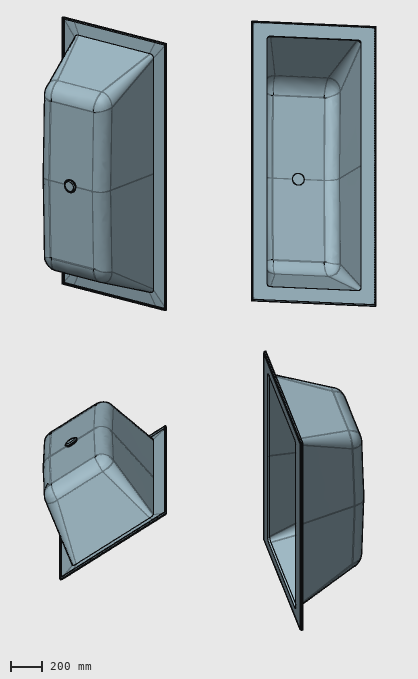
import cadquery as cq
import math


RIM_LENGTH = 1800.0
RIM_WIDTH = 800.0
RIM_HEIGHT = 18.0
RIM_CHAMFER = 7.0
LIP_THICKNESS = 9.0
FLANGE_OUTER_THICKNESS = 7.0
FLANGE_INNER_THICKNESS = 15.0
FLANGE_OVERLAP = 9.0
FLANGE_CORNER_X = 75.0
FLANGE_CORNER_Z = 5.0

SHELL = 5.0
OPENING_HALF_X = 308.0
OPENING_HALF_Z = 812.0
OPENING_CORNER = 27.0
FLOOR_DEPTH = 486.0
FLOOR_SLOPE = 0.026
FLOOR_HALF_X = 170.0
FLOOR_HALF_Z = 533.0
FLOOR_CORNER = 7.0
BOTTOM_ROUND_HEIGHT = 80.0
SIDE_ROUND_RADIUS = 85.0
END_ROUND_RADIUS = 117.0
CORNER_SHARE_X = 0.9
CORNER_SHARE_Z = 0.75
ROUND_STEPS = 6

TOTAL_DEPTH = 500.0
DRAIN_PIPE_RADIUS = 38.0
DRAIN_CAP_RADIUS = 43.0
DRAIN_CAP_FACE_RADIUS = 32.0
DRAIN_CAP_THICKNESS = 9.0
DRAIN_CAP_EDGE = 2.0

INTO_TUB = cq.Plane(origin=(0, 0, 0), xDir=(1, 0, 0), normal=(0, -1, 0))


def half_section(half_x, half_z, corner_x, corner_z, depth, slope=0.0):
    """Closed outline of the +Z half of the basin; it rises towards the opening with Z."""
    tilt = math.hypot(1, slope)
    up = cq.Vector(0, slope / tilt, 1 / tilt)
    across = cq.Vector(1, 0, 0)
    centre = cq.Vector(0, -depth, 0)

    def point(x, z):
        return centre + across * x + up * (z * tilt)

    straight_x = half_x - corner_x
    straight_z = half_z - corner_z
    normal = across.cross(up)

    def corner_arc(side, start, end):
        middle = point(side * straight_x, straight_z)
        return cq.Edge.makeEllipse(corner_x, corner_z * tilt, middle, normal, across, start, end)

    edges = [
        cq.Edge.makeLine(point(-half_x, 0), point(half_x, 0)),
        cq.Edge.makeLine(point(half_x, 0), point(half_x, straight_z)),
        corner_arc(1, 0, 90),
        cq.Edge.makeLine(point(straight_x, half_z), point(-straight_x, half_z)),
        corner_arc(-1, 90, 180),
        cq.Edge.makeLine(point(-half_x, straight_z), point(-half_x, 0)),
    ]
    return cq.Wire.assembleEdges(edges)


def round_width(radius, height):
    """Horizontal reach of a round of this radius at a height above the floor."""
    return math.sqrt(2 * radius * height - height ** 2)


def basin(inset):
    """Solid basin, the outer shape moved inwards by inset."""
    def bottom_section(height):
        side_reach = round_width(SIDE_ROUND_RADIUS, height)
        end_reach = round_width(END_ROUND_RADIUS, height)
        return half_section(
            FLOOR_HALF_X + side_reach - inset,
            FLOOR_HALF_Z + end_reach - inset,
            FLOOR_CORNER + CORNER_SHARE_X * side_reach - inset,
            FLOOR_CORNER + CORNER_SHARE_Z * end_reach - inset,
            FLOOR_DEPTH - inset - height,
            FLOOR_SLOPE,
        )

    opening = half_section(
        OPENING_HALF_X - inset, OPENING_HALF_Z - inset,
        OPENING_CORNER - inset, OPENING_CORNER - inset, 0)
    walls = cq.Solid.makeLoft([opening, bottom_section(BOTTOM_ROUND_HEIGHT)], True)
    angles = [math.pi / 2 * (1 - i / ROUND_STEPS) for i in range(ROUND_STEPS + 1)]
    heights = [BOTTOM_ROUND_HEIGHT * (1 - math.cos(a)) for a in angles]
    rounded_floor = cq.Solid.makeLoft([bottom_section(h) for h in heights])
    half = cq.Workplane(walls).union(cq.Workplane(rounded_floor))
    return half.union(half.mirror("XY"))


def make_rim():
    plate = (
        cq.Workplane(INTO_TUB).rect(RIM_WIDTH, RIM_LENGTH).extrude(RIM_HEIGHT)
        .faces(">Y").chamfer(RIM_CHAMFER)
    )
    recess_x = RIM_WIDTH - 2 * LIP_THICKNESS
    recess_z = RIM_LENGTH - 2 * LIP_THICKNESS
    recess = (
        cq.Workplane(INTO_TUB).workplane(offset=FLANGE_OUTER_THICKNESS)
        .rect(recess_x, recess_z).extrude(RIM_HEIGHT)
    )
    outer = half_section(
        recess_x / 2, recess_z / 2, FLANGE_CORNER_X, FLANGE_CORNER_Z, FLANGE_OUTER_THICKNESS)
    inner = half_section(
        OPENING_HALF_X - FLANGE_OVERLAP, OPENING_HALF_Z - FLANGE_OVERLAP, OPENING_CORNER, OPENING_CORNER,
        FLANGE_INNER_THICKNESS)
    slope = cq.Workplane(cq.Solid.makeLoft([outer, inner], True))
    slope = slope.union(slope.mirror("XY"))
    return plate.cut(recess).union(slope)


def make_tub():
    drain_hole = cq.Workplane(INTO_TUB).circle(DRAIN_PIPE_RADIUS).extrude(TOTAL_DEPTH)
    return make_rim().union(basin(0)).cut(basin(SHELL)).cut(drain_hole)


def make_drain_pipe():
    """Short pipe plug that fills the hole in the floor and carries the cap."""
    top = FLOOR_DEPTH - SHELL
    length = TOTAL_DEPTH - DRAIN_CAP_THICKNESS - top
    return cq.Workplane(INTO_TUB).workplane(offset=top).circle(DRAIN_PIPE_RADIUS).extrude(length)


def make_drain_cap():
    """Tapered disc on the outer end of the drain pipe."""
    cap = (
        cq.Workplane(INTO_TUB).workplane(offset=TOTAL_DEPTH - DRAIN_CAP_THICKNESS)
        .circle(DRAIN_CAP_RADIUS).extrude(DRAIN_CAP_THICKNESS)
    )
    taper_height = DRAIN_CAP_THICKNESS - DRAIN_CAP_EDGE
    taper_width = DRAIN_CAP_RADIUS - DRAIN_CAP_FACE_RADIUS
    return cap.faces("<Y").chamfer(taper_height, taper_width)


tub = make_tub()
drain_pipe = make_drain_pipe()
drain_cap = make_drain_cap()
result = cq.Compound.makeCompound([body.solids().val() for body in (tub, drain_pipe, drain_cap)])